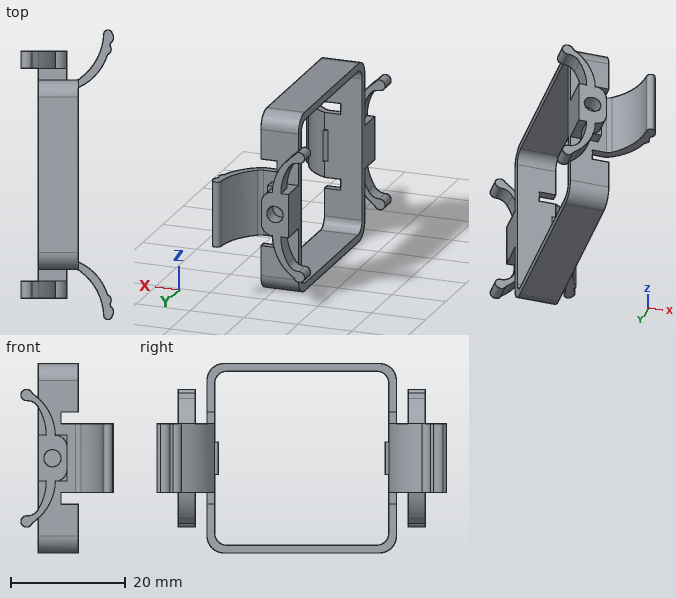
import cadquery as cq
import math

frame_size = 33.0
frame_depth = 7.0
frame_wall = 1.4
frame_outer_radius = 3.0
frame_inner_radius = 2.0
outer_half = frame_size / 2
inner_half = outer_half - frame_wall

block_length = 5.0
block_height = 8.0
block_reach = 5.0
head_width = 3.0
head_corner_radius = 2.0
neck_width = block_reach - head_width
block_face = outer_half + block_reach

hole_diameter = 3.0
hole_depth = head_width

arm_root_z = block_height / 2
arm_outer_root = (3.0, arm_root_z)
arm_outer_mid = (2.0, 7.9)
arm_outer_end = (0.1, 10.4)
arm_outer_bead = (-1.1, 11.4)
arm_inner_bend_mid = (-0.7, 9.65)
arm_inner_bend = (0.1, 8.75)
arm_inner_mid = (1.1, 6.4)
arm_inner_root = (1.4, arm_root_z)
bead_radius = 1.0
bead_center = (-2.0, 11.0)
bead_underside = (bead_center[0], bead_center[1] - bead_radius)

clip_width = 12.0
clip_root_x = 6.53
clip_root_radius = 1.27
clip_root_angle = math.radians(45)
clip_outer_mid = (10.2, 3.6)
clip_outer_end = (11.4, 8.0)
clip_tip_top = (12.1, 8.7)
clip_tip_end = (12.9, 8.1)
clip_lip_peak = (13.14, 7.35)
clip_lip_end = (12.6, 6.4)
clip_bump_start = (12.55, 5.9)
clip_bump_peak = (12.7, 5.1)
clip_bump_end = (12.1, 4.4)
clip_inner_mid = (10.2, 1.0)
clip_inner_root = (frame_depth, -1.35)

notch_width = 2.0
notch_depth = 3.0

ridge_width = 5.7
ridge_start_x = 6.3
ridge_start_height = 0.15
ridge_end_height = 0.6


def rounded_bar(size, corner_radius):
    """Square bar along X, as long as the frame is deep, with rounded corners."""
    bar = cq.Workplane("YZ").rect(size, size).extrude(frame_depth)
    return bar.edges("|X").fillet(corner_radius)


def make_frame():
    """Square ring with rounded corners inside and out."""
    outer = rounded_bar(frame_size, frame_outer_radius)
    opening = rounded_bar(2 * inner_half, frame_inner_radius)
    return outer.cut(opening)


def make_notches():
    """Slots through both side walls, open to the back of the frame."""
    x = frame_depth - notch_depth / 2
    z = (clip_width + notch_width) / 2
    return (
        cq.Workplane("XZ")
        .pushPoints([(x, -z), (x, z)])
        .rect(notch_depth, notch_width)
        .extrude(frame_size, both=True)
    )


def block_slab(width, y_start):
    """Part of the mounting block, with its front face at X = 0."""
    slab = cq.Workplane("XY", origin=(0, y_start, 0))
    return slab.box(block_length, width, block_height, centered=(False, False, True))


def make_block():
    """Square neck on the wall carrying a head with rounded back corners."""
    neck = block_slab(neck_width, outer_half)
    head = block_slab(head_width, outer_half + neck_width)
    return neck.union(head.edges("|Y and >X").fillet(head_corner_radius))


def make_hole():
    """Blind hole sunk into the outer face of the block."""
    plane = cq.Workplane("XZ", origin=(block_length / 2, block_face, 0))
    return plane.circle(hole_diameter / 2).extrude(hole_depth)


def make_upper_arm():
    """Arched arm, thinner toward its round end bead, rooted inside the block."""
    plane = cq.Workplane("XZ", origin=(0, block_face, 0))
    blade = (
        plane.moveTo(*arm_outer_root)
        .threePointArc(arm_outer_mid, arm_outer_end)
        .lineTo(*arm_outer_bead)
        .lineTo(*bead_center)
        .lineTo(*bead_underside)
        .threePointArc(arm_inner_bend_mid, arm_inner_bend)
        .threePointArc(arm_inner_mid, arm_inner_root)
        .lineTo(arm_inner_root[0], 0)
        .lineTo(arm_outer_root[0], 0)
        .close()
        .extrude(head_width)
    )
    bead = plane.center(*bead_center).circle(bead_radius).extrude(head_width)
    return blade.union(bead)


def clip_root_point(angle):
    """Point on the concave blend between the wall and the clip."""
    x = clip_root_x + clip_root_radius * math.sin(angle)
    y = clip_root_radius * (1 - math.cos(angle))
    return (x, y)


def make_clip():
    """Tongue that leaves the back of the wall at 45 degrees and curls outward."""
    return (
        cq.Workplane("XY", origin=(0, outer_half, -clip_width / 2))
        .moveTo(clip_root_x, -frame_wall)
        .lineTo(clip_root_x, 0)
        .threePointArc(clip_root_point(clip_root_angle / 2), clip_root_point(clip_root_angle))
        .threePointArc(clip_outer_mid, clip_outer_end)
        .threePointArc(clip_tip_top, clip_tip_end)
        .threePointArc(clip_lip_peak, clip_lip_end)
        .lineTo(*clip_bump_start)
        .threePointArc(clip_bump_peak, clip_bump_end)
        .threePointArc(clip_inner_mid, clip_inner_root)
        .close()
        .extrude(clip_width)
    )


def make_ridge():
    """Ramp on the inner face of the wall, embedded to half the wall thickness."""
    embedded = frame_wall / 2
    return (
        cq.Workplane("XY", origin=(0, inner_half, -ridge_width / 2))
        .moveTo(ridge_start_x, embedded)
        .lineTo(ridge_start_x, -ridge_start_height)
        .lineTo(frame_depth, -ridge_end_height)
        .lineTo(frame_depth, embedded)
        .close()
        .extrude(ridge_width)
    )


def make_side():
    """Everything carried by the +Y side wall."""
    upper_arm = make_upper_arm()
    lower_arm = upper_arm.mirror("XY")
    block = make_block().union(upper_arm).union(lower_arm).cut(make_hole())
    return block.union(make_clip()).union(make_ridge())


side = make_side()
opposite_side = side.mirror("XZ")
result = make_frame().cut(make_notches()).union(side).union(opposite_side)